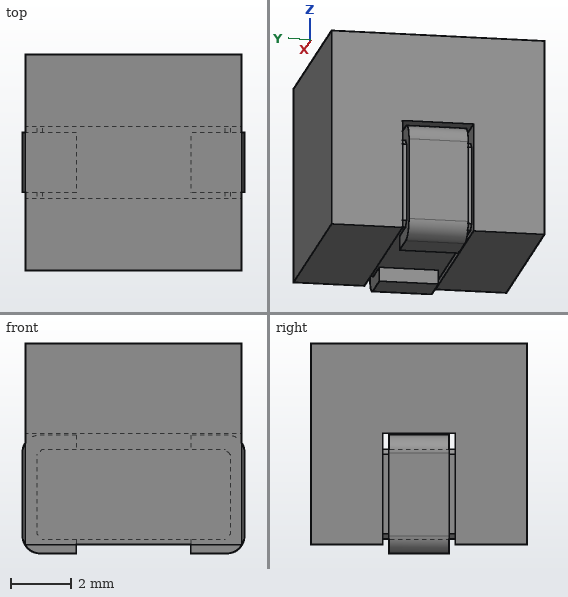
import cadquery as cq

body_size = 7.2
total_height = 7.0
standoff = 0.3
body_height = total_height - standoff

slot_width = 2.4
slot_top = 4.0

terminal_span = 7.4
terminal_width = 2.0
terminal_height = 3.96
terminal_thickness = 0.48
terminal_outer_radius = 0.6
terminal_arm_length = 1.8

bar_length = terminal_span - 2 * terminal_thickness
bar_height = terminal_height - 2 * terminal_thickness
bar_chamfer = 0.18


def make_body():
    """Square block standing above the seating plane, with the terminal slot cut through it."""
    block = cq.Workplane("XY").workplane(offset=standoff).box(
        body_size, body_size, body_height, centered=(True, True, False)
    )
    slot = cq.Workplane("XY").workplane(offset=standoff).box(
        body_size, slot_width, slot_top - standoff, centered=(True, True, False)
    )
    return block.cut(slot)


def make_bar():
    """Bar with bevelled end edges that fills the slot width and carries the terminals."""
    bar = cq.Workplane("XY").workplane(offset=terminal_thickness).box(
        bar_length, slot_width, bar_height, centered=(True, True, False)
    )
    return bar.edges("|Y").chamfer(bar_chamfer)


def make_left_terminal():
    """C-shaped clip on the -X end; its inside is the shape of the bar end."""
    clip = (
        cq.Workplane("XY")
        .box(terminal_arm_length, terminal_width, terminal_height, centered=(False, True, False))
        .translate((-terminal_span / 2, 0, 0))
        .edges("|Y and <X")
        .fillet(terminal_outer_radius)
    )
    return clip.cut(make_bar())


left_terminal = make_left_terminal()
right_terminal = left_terminal.mirror("YZ")

result = make_body().union(make_bar()).union(left_terminal).union(right_terminal)